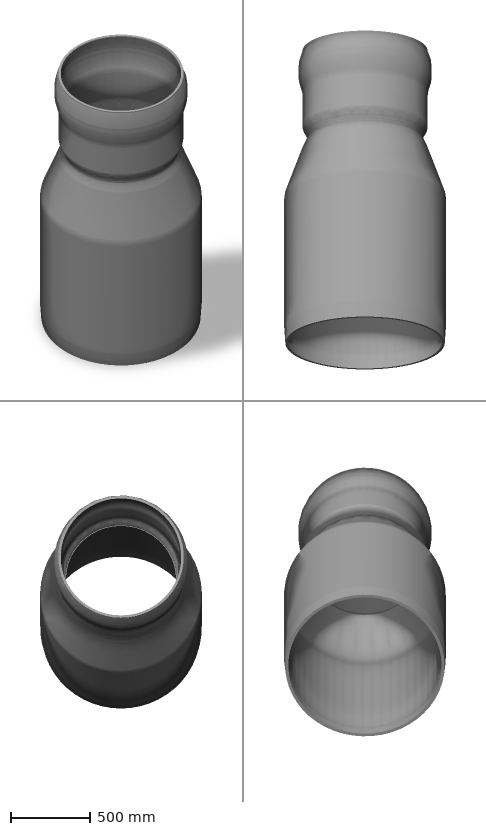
import cadquery as cq
import math

JOINT_Z = 1360.0
NECK_RADIUS = 367.0

PIPE_RADIUS = 1020.0 / 2
PIPE_WALL = (1020.0 - 980.0) / 2
SPIGOT_END_RADIUS = 503.0
SPIGOT_HEIGHT = 101.0
BEND_START_Z = 965.0
BEND_END_Z = 1005.0
CONE_TOP_Z = 1303.0
CONE_TOP_RADIUS = 394.0

TOTAL_HEIGHT = 1950.0
COLLAR_OUTER_RADIUS = 792.0 / 2
SOCKET_WALL = (792.0 - 760.0) / 2
BULGE_OUTER_RADIUS = 842.0 / 2
NECK_TOP_Z = 1373.0
COLLAR_BOTTOM_Z = 1453.0
COLLAR_TOP_Z = 1663.0
BULGE_INFLECTION_Z = 1708.0
BULGE_BOTTOM_Z = 1798.0
BULGE_TOP_Z = 1835.0
LIP_HEIGHT = 8.0

BULGE_RISE = BULGE_OUTER_RADIUS - COLLAR_OUTER_RADIUS
INFLECTION_FRACTION = (BULGE_INFLECTION_Z - COLLAR_TOP_Z) / (BULGE_BOTTOM_Z - COLLAR_TOP_Z)
INFLECTION_RADIUS = COLLAR_OUTER_RADIUS + BULGE_RISE * INFLECTION_FRACTION

BEND_ANGLE = math.atan2(PIPE_RADIUS - CONE_TOP_RADIUS, CONE_TOP_Z - BEND_START_Z)
BEND_END_RADIUS = PIPE_RADIUS - (BEND_END_Z - BEND_START_Z) * math.tan(BEND_ANGLE / 2)


def reducer_filled(inset):
    """Revolved reducer shape, with every radius reduced by inset."""
    return (
        cq.Workplane("XZ")
        .lineTo(SPIGOT_END_RADIUS - inset, 0)
        .lineTo(PIPE_RADIUS - inset, SPIGOT_HEIGHT)
        .lineTo(PIPE_RADIUS - inset, BEND_START_Z)
        .tangentArcPoint((BEND_END_RADIUS - inset, BEND_END_Z), relative=False)
        .lineTo(CONE_TOP_RADIUS - inset, CONE_TOP_Z)
        .lineTo(NECK_RADIUS - inset, JOINT_Z)
        .lineTo(0, JOINT_Z)
        .close()
        .revolve(360, (0, 0), (0, 1))
    )


def socket_filled(inset):
    """Revolved socket shape, with every radius reduced by inset."""
    collar_radius = COLLAR_OUTER_RADIUS - inset
    bulge_radius = BULGE_OUTER_RADIUS - inset
    neck_radius = NECK_RADIUS - inset
    shoulder_end = (collar_radius, COLLAR_BOTTOM_Z)
    lip_z = TOTAL_HEIGHT - LIP_HEIGHT
    return (
        cq.Workplane("XZ")
        .moveTo(0, JOINT_Z)
        .lineTo(neck_radius, JOINT_Z)
        .lineTo(neck_radius, NECK_TOP_Z)
        .spline([shoulder_end], tangents=[(0, 1), (0, 1)], includeCurrent=True)
        .lineTo(collar_radius, COLLAR_TOP_Z)
        .tangentArcPoint((INFLECTION_RADIUS - inset, BULGE_INFLECTION_Z), relative=False)
        .tangentArcPoint((bulge_radius, BULGE_BOTTOM_Z), relative=False)
        .lineTo(bulge_radius, BULGE_TOP_Z)
        .tangentArcPoint((collar_radius, lip_z), relative=False)
        .lineTo(collar_radius, TOTAL_HEIGHT)
        .lineTo(0, TOTAL_HEIGHT)
        .close()
        .revolve(360, (0, 0), (0, 1))
    )


reducer = reducer_filled(0).cut(reducer_filled(PIPE_WALL))
socket = socket_filled(0).cut(socket_filled(SOCKET_WALL))

result = cq.Compound.makeCompound([reducer.val(), socket.val()])